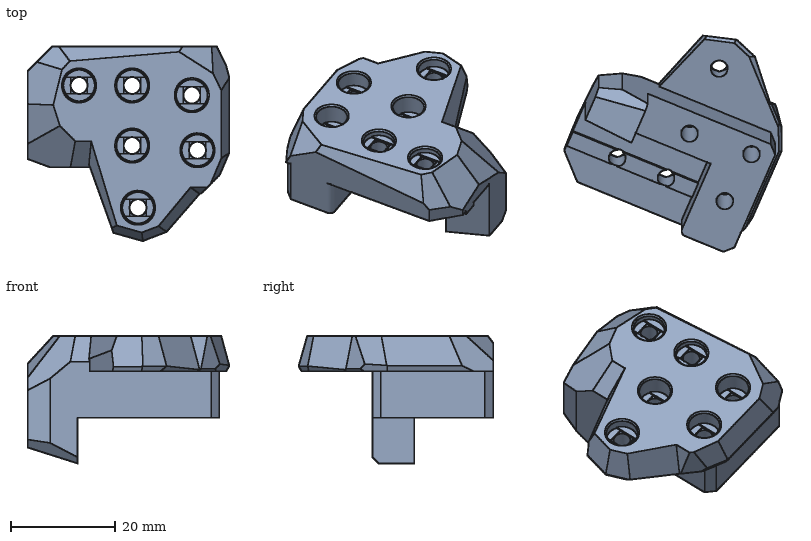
import cadquery as cq

length = 38.62
width = 37.25
height = 24.45

front_y = 14.1
plate_bottom = 17.65
web_bottom = 8.73
roof_bottom = 16.22
leg_right = 9.58
leg_back = 22.15
web_right = 36.73
block_left = 26.05
back_chamfer = 4.7
front_chamfer = 4.3
web_chamfer = 1.62
block_fillet = 1.05

tongue_width = 3.0
tongue_height = 0.77
tongue_y = 29.78

hole_diameter = 3.2
bore_diameter = 6.0
bore_chamfer = 0.3
step_depth = 0.2
roof_bore = 1.3
arm_bore = 2.1
corner_bore = 3.4
web_bore = 4.15
holes = [
    (9.85, tongue_y, roof_bore),
    (20.0, tongue_y, roof_bore),
    (31.45, 27.92, web_bore),
    (20.0, 18.25, web_bore),
    (32.5, 17.38, corner_bore),
    (21.13, 6.37, arm_bore),
]


def top(x, y):
    """Corner of the top face."""
    return cq.Vector(x, y, height)


def point(x, y, z):
    return cq.Vector(x, y, z)


def box(x0, x1, y0, y1, z0, z1):
    """Axis-parallel block between two corners."""
    return cq.Workplane("XY").box(x1 - x0, y1 - y0, z1 - z0, centered=False).translate((x0, y0, z0))


def trim(body, facets):
    """Cut the body flat along each facet, given as three points clockwise seen from outside."""
    reach = 4 * length
    for a, b, c in facets:
        plane = cq.Plane(origin=a, xDir=b - a, normal=(c - a).cross(b - a))
        body = body.cut(cq.Workplane(plane).rect(reach, reach).extrude(reach))
    return body


def upright(x0, y0, x1, y1):
    """Vertical facet standing on a line, with the part on the left of the line."""
    return top(x0, y0), top(x1, y1), point(x1, y1, 0)


rear_left = top(8.07, 34.45)
left_rear = top(6.55, 32.83)
left_mid = top(4.9, 26.03)
left_front = top(6.18, 22.05)
shoulder_left = top(9.1, 19.1)
shoulder_right = top(12.15, 19.1)
arm_left = top(17.07, 2.97)
arm_tip = top(21.85, 1.62)
arm_right = top(25.05, 2.85)
notch = top(31.2, 10.27)
notch_right = top(34.4, notch.y)
right_front_top = notch_right + cq.Vector(0.58, 0.58, 0)
right_front = top(37.08, 15.85)
right_rear = top(37.08, 28.85)
rear_right = top(35.5, 32.1)
rear_mid = top(29.0, 36.23)

back_left = point(5.9, width, 20.2)
back_mid = point(29.75, width, 23.0)
corner_left = point(1.95, 34.4, 18.95)
wall_rear = point(0, 26.3, 19.1)
wall_mid = point(0, 18.75, 16.5)
wall_front = point(0, 15.68, 14.0)
shoulder_low = point(8.23, front_y, 19.5)
root_low = point(11.75, 14.65, 20.05)
arm_left_low = point(16.45, 1.5, 18.58)
tip_low = point(21.95, 0, arm_left_low.z)
arm_right_low = point(26.6, 1.75, 18.65)
notch_low = point(33.1, 9.05, 18.07)
right_front_low = notch_right + cq.Vector(2.4, 2.4, -5.4)
right_low_front = point(38.55, 16.45, right_front_low.z)
right_low = point(length, 16.45, 18.75)
right_rear_low = point(length, 31.3, right_low.z)

arm_left_bottom = point(16.3, 2.1, plate_bottom)
arm_right_bottom = point(25.45, 1.95, plate_bottom)
right_front_bottom = point(35.95, 11.78, 18.2)
right_bottom = point(38.05, right_low.y, plate_bottom)

leg_left_back = point(0, leg_back, 3.05)
leg_left_front = point(0, 17.22, leg_left_back.z)
leg_corner = point(0, wall_front.y, 4.6)
leg_right_front = point(leg_right, front_y, 1.2)
leg_foot = point(leg_right, leg_back, 0)

rear_facets = [
    (rear_mid, rear_left, back_left),
    (rear_right, rear_mid, back_mid),
    (right_rear, rear_right, right_rear_low),
]
right_facets = [
    (right_front, right_rear, right_low),
    (right_low, right_rear_low, right_bottom),
    (right_front_top, right_front, right_front_low),
    (right_front_bottom, right_front_low, right_low_front),
    upright(notch_right.x, notch_right.y, right_front_low.x, right_front_low.y),
]
left_facets = [
    (rear_left, left_rear, corner_left),
    (left_rear, left_mid, wall_rear),
    (left_mid, left_front, wall_mid),
    (left_front, shoulder_left, wall_front),
    (shoulder_left, shoulder_right, shoulder_low),
]
root_facets = [
    (shoulder_right, arm_left, root_low),
    upright(root_low.x, root_low.y, arm_left_low.x, arm_left_low.y),
]
arm_facets = [
    (arm_left, arm_tip, tip_low),
    (arm_tip, arm_right, arm_right_low),
    (arm_right, notch, arm_right_low),
    (arm_left_low, tip_low, arm_left_bottom),
    (tip_low, arm_right_low, arm_right_bottom),
]
edge_bevel = (arm_right_low, notch_low, arm_right_bottom)
leg_facets = [
    (leg_left_front, leg_corner, leg_right_front),
    (leg_left_back, leg_left_front, leg_foot),
]
upright_facets = [
    upright(back_chamfer, width, 0, width - back_chamfer),
    upright(0, wall_front.y, front_chamfer, front_y),
    upright(web_right - web_chamfer, front_y, web_right, front_y + web_chamfer),
    upright(web_right, width - web_chamfer, web_right - web_chamfer, width),
]


def make_bracket():
    """Roof with the leg, the front web and the right block below it."""
    roof = box(0, web_right, front_y, width, roof_bottom, height)
    web = box(0, web_right, front_y, leg_back, web_bottom, height)
    leg = box(0, leg_right, front_y, leg_back, 0, height)
    block = box(block_left, web_right, front_y, width, web_bottom, height)
    block = block.edges("|Z and <X and >Y").fillet(block_fillet)
    body = roof.union(web).union(leg).union(block)
    body = trim(body, upright_facets + left_facets + leg_facets + rear_facets)
    tongue_front = tongue_y - tongue_width / 2
    tongue_back = tongue_front + tongue_width
    tongue = box(0, block_left, tongue_front, tongue_back, roof_bottom - tongue_height, roof_bottom)
    return body.union(tongue)


def make_right_plate():
    """Part of the plate behind the notch."""
    plate = box(leg_right, length, 0, width, plate_bottom, height)
    front = [(notch, notch_right, notch_low), edge_bevel]
    return trim(plate, rear_facets + right_facets + root_facets + front)


def make_arm():
    """Arm that reaches forward from the plate."""
    arm = box(leg_right, notch_low.x, 0, leg_back, plate_bottom, height)
    return trim(arm, root_facets + arm_facets + [edge_bevel])


def make_hole(x, y, depth):
    """Chamfered head bore, then a bridging slot and square above the through hole."""
    floor = height - depth
    bore = cq.Workplane("XY").circle(bore_diameter / 2).extrude(depth)
    rim = cq.Workplane("XY").workplane(offset=depth - bore_chamfer).circle(bore_diameter / 2)
    rim = rim.workplane(offset=bore_chamfer).circle(bore_diameter / 2 + bore_chamfer).loft()
    slot = cq.Workplane("XY").rect(bore_diameter, hole_diameter).extrude(-step_depth)
    slot = slot.intersect(cq.Workplane("XY").circle(bore_diameter / 2).extrude(-step_depth))
    square = cq.Workplane("XY").rect(hole_diameter, hole_diameter).extrude(-2 * step_depth)
    through = cq.Workplane("XY").circle(hole_diameter / 2).extrude(-height)
    return bore.union(rim).union(slot).union(square).union(through).translate((x, y, floor))


result = make_bracket().union(make_right_plate()).union(make_arm())
for x, y, depth in holes:
    result = result.cut(make_hole(x, y, depth))